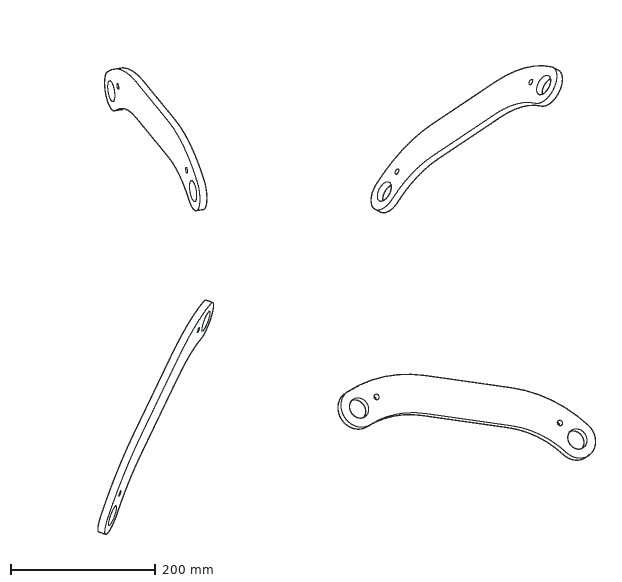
import cadquery as cq
import math

length = 389.0
height = 89.0
thickness = 10.5
band_width = 55.5
straight_half_length = 66.0
pivot_hole_diameter = 29.0
pin_hole_diameter = 7.8
pin_x = 140.0
pin_above_pivot = 20.0

end_radius = band_width / 2
pivot_x = length / 2 - end_radius
centreline_drop = height - band_width
bend_run = pivot_x - straight_half_length
bend_radius = (bend_run**2 + centreline_drop**2) / (2 * centreline_drop)
bend_angle = math.asin(bend_run / bend_radius)
bend_center_z = centreline_drop - bend_radius


def bend_point(side, radius, angle):
    """Point on the bend at the given side (-1 or 1), angle measured from vertical."""
    x = straight_half_length + radius * math.sin(angle)
    return side * x, bend_center_z + radius * math.cos(angle)


def end_tip(side):
    """Middle of the round end, straight beyond the end of the centreline."""
    x = pivot_x + end_radius * math.cos(bend_angle)
    return side * x, -end_radius * math.sin(bend_angle)


def make_bar():
    outer = bend_radius + end_radius
    inner = bend_radius - end_radius
    half_angle = bend_angle / 2
    return (
        cq.Workplane("XZ", origin=(0, thickness / 2, 0))
        .moveTo(*bend_point(-1, outer, 0))
        .lineTo(*bend_point(1, outer, 0))
        .threePointArc(bend_point(1, outer, half_angle), bend_point(1, outer, bend_angle))
        .threePointArc(end_tip(1), bend_point(1, inner, bend_angle))
        .threePointArc(bend_point(1, inner, half_angle), bend_point(1, inner, 0))
        .lineTo(*bend_point(-1, inner, 0))
        .threePointArc(bend_point(-1, inner, half_angle), bend_point(-1, inner, bend_angle))
        .threePointArc(end_tip(-1), bend_point(-1, outer, bend_angle))
        .threePointArc(bend_point(-1, outer, half_angle), bend_point(-1, outer, 0))
        .close()
        .extrude(thickness)
    )


def make_hole_pair(x, z, diameter):
    """Cutters for two mirrored holes through the thickness."""
    return (
        cq.Workplane("XZ", origin=(0, thickness / 2, 0))
        .pushPoints([(-x, z), (x, z)])
        .circle(diameter / 2)
        .extrude(thickness)
    )


pivot_holes = make_hole_pair(pivot_x, 0, pivot_hole_diameter)
pin_holes = make_hole_pair(pin_x, pin_above_pivot, pin_hole_diameter)
result = make_bar().cut(pivot_holes).cut(pin_holes)